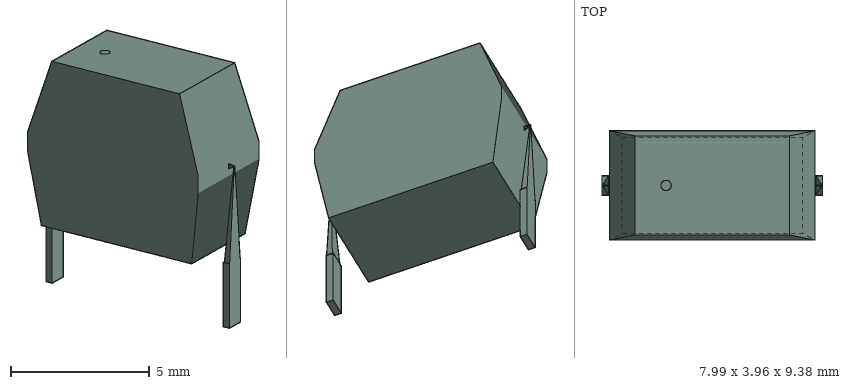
import cadquery as cq

BELT_LENGTH = 7.45
BELT_WIDTH = 3.96
TOP_LENGTH = 5.57
TOP_WIDTH = 3.58
BOTTOM_LENGTH = 6.55
BOTTOM_WIDTH = 3.47
BOTTOM_Z = 2.82
BELT_LOW_Z = 5.76
BELT_HIGH_Z = 6.44
TOP_Z = 9.38

LEAD_SPAN = 7.99
FOOT_THICKNESS = 0.27
FOOT_WIDTH = 0.72
FOOT_HEIGHT = 2.52
TAPER_INNER_SETBACK = 0.04
TAPER_SIDE_SETBACK = 0.02
TIP_INSET = 0.02
TIP_THICKNESS = 0.02
TIP_WIDTH = 0.04
TIP_Z = 6.21
NECK_TOP_Z = 6.25
NECK_BOTTOM_Z = 6.06
NECK_EMBED = 0.05

MARK_DIAMETER = 0.375
MARK_DEPTH = 0.05
MARK_X = -1.67

LEAD_OUTER_X = LEAD_SPAN / 2
LEAD_SIDES = (-1, 1)


def frustum(bottom_size, top_size, bottom_z, top_z):
    """Centred rectangular frustum between two levels."""
    return (
        cq.Workplane("XY", origin=(0, 0, bottom_z))
        .rect(*bottom_size)
        .workplane(offset=top_z - bottom_z)
        .rect(*top_size)
        .loft(ruled=True)
    )


def make_package():
    belt_size = (BELT_LENGTH, BELT_WIDTH)
    lower = frustum((BOTTOM_LENGTH, BOTTOM_WIDTH), belt_size, BOTTOM_Z, BELT_LOW_Z)
    belt = frustum(belt_size, belt_size, BELT_LOW_Z, BELT_HIGH_Z)
    upper = frustum(belt_size, (TOP_LENGTH, TOP_WIDTH), BELT_HIGH_Z, TOP_Z)
    return lower.union(belt).union(upper)


def make_foot():
    return cq.Workplane("XY").box(
        FOOT_THICKNESS, FOOT_WIDTH, FOOT_HEIGHT, centered=(True, True, False)
    ).translate((LEAD_OUTER_X - FOOT_THICKNESS / 2, 0, 0))


def make_taper():
    """Slender pyramid on the foot, with a small ledge at its sides and inner edge."""
    base_thickness = FOOT_THICKNESS - TAPER_INNER_SETBACK
    base_width = FOOT_WIDTH - 2 * TAPER_SIDE_SETBACK
    base_x = LEAD_OUTER_X - base_thickness / 2
    tip_x = LEAD_OUTER_X - TIP_INSET - TIP_THICKNESS / 2
    return (
        cq.Workplane("XY", origin=(base_x, 0, FOOT_HEIGHT))
        .rect(base_thickness, base_width)
        .workplane(offset=TIP_Z - FOOT_HEIGHT)
        .center(tip_x - base_x, 0)
        .rect(TIP_THICKNESS, TIP_WIDTH)
        .loft(ruled=True)
    )


def make_neck():
    """Thin web that widens from the lead tip towards the package end face."""
    outer_x = LEAD_OUTER_X - TIP_INSET
    face_x = BELT_LENGTH / 2
    outline = [
        (outer_x, TIP_Z),
        (face_x, NECK_TOP_Z),
        (face_x - NECK_EMBED, NECK_TOP_Z),
        (face_x - NECK_EMBED, NECK_BOTTOM_Z),
        (face_x, NECK_BOTTOM_Z),
        (outer_x - TIP_THICKNESS, TIP_Z - TIP_THICKNESS),
        (outer_x, TIP_Z - TIP_THICKNESS),
    ]
    return cq.Workplane("XZ").polyline(outline).close().extrude(TIP_WIDTH / 2, both=True)


def make_lead(side):
    lead = make_foot().union(make_taper()).union(make_neck())
    return lead if side > 0 else lead.mirror("YZ")


def make_mark():
    return (
        cq.Workplane("XY", origin=(MARK_X, 0, TOP_Z - MARK_DEPTH))
        .circle(MARK_DIAMETER / 2)
        .extrude(MARK_DEPTH)
    )


mark = make_mark()
housing = make_package()
for side in LEAD_SIDES:
    housing = housing.union(make_lead(side))
housing = housing.cut(mark)

result = cq.Compound.makeCompound([housing.solids().val(), mark.val()])